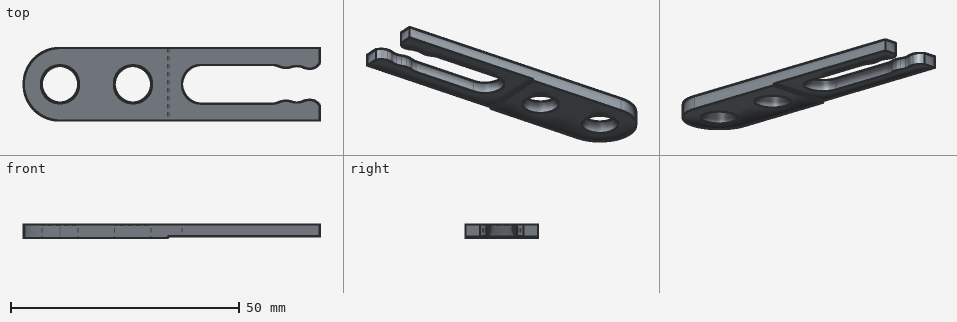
import cadquery as cq

length = 65.0
width = 16.0
thickness = 3.0
end_radius = width / 2
step_height = 0.4
step_start_x = 31.5

hole_diameter = 8.0
hole_pitch = 16.0
hole_chamfer = 0.2

slot_start_x = 34.8
slot_half_width = 4.2
slot_center_x = slot_start_x + slot_half_width

jaw_start = (54.55, slot_half_width)
inner_bump = (57.5, 3.6)
jaw_notch = (59.9, 3.95)
outer_bump = (62.8, 3.4)
jaw_tip = (length, 4.75)


def make_plate():
    """Stadium-ended plate with a 45 degree step up in its underside."""
    outline = (
        cq.Workplane("XY")
        .moveTo(end_radius, -width / 2)
        .lineTo(length, -width / 2)
        .lineTo(length, width / 2)
        .lineTo(end_radius, width / 2)
        .threePointArc((0, 0), (end_radius, -width / 2))
        .close()
        .extrude(thickness)
    )
    relief = (
        cq.Workplane("XZ")
        .moveTo(step_start_x, 0)
        .lineTo(step_start_x + step_height, step_height)
        .lineTo(length, step_height)
        .lineTo(length, 0)
        .close()
        .extrude(width / 2, both=True)
    )
    return outline.cut(relief)


def make_hole(x):
    """Through-hole cutter with a chamfered top rim."""
    radius = hole_diameter / 2
    bore = cq.Workplane("XY").center(x, 0).circle(radius).extrude(thickness)
    rim = (
        cq.Workplane("XY", origin=(x, 0, thickness))
        .circle(radius + hole_chamfer)
        .workplane(offset=-hole_chamfer)
        .circle(radius)
        .loft()
    )
    return bore.union(rim)


def ripple(path, start, end):
    """S-curve of two equal arcs, running along X at both ends."""
    middle = ((start[0] + end[0]) / 2, (start[1] + end[1]) / 2)
    return path.tangentArcPoint(middle, relative=False).tangentArcPoint(end, relative=False)


def make_half_slot():
    """Upper half of the fork slot, bounded below by the X axis."""
    path = (
        cq.Workplane("XY")
        .moveTo(slot_start_x, 0)
        .radiusArc((slot_center_x, slot_half_width), slot_half_width)
        .lineTo(*jaw_start)
    )
    turning_points = [jaw_start, inner_bump, jaw_notch, outer_bump]
    for start, end in zip(turning_points, turning_points[1:]):
        path = ripple(path, start, end)
    return (
        path.tangentArcPoint(jaw_tip, relative=False)
        .lineTo(length, 0)
        .close()
        .extrude(thickness)
    )


half_slot = make_half_slot()
result = make_plate().cut(half_slot).cut(half_slot.mirror("XZ"))
for hole_x in (end_radius, end_radius + hole_pitch):
    result = result.cut(make_hole(hole_x))